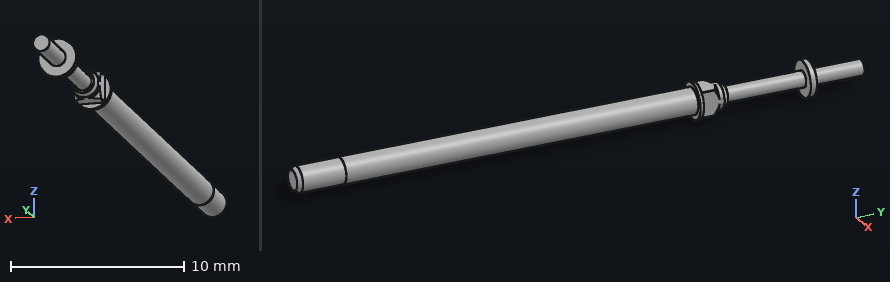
import cadquery as cq

total_length = 36.3
flange_diameter = 2.3
barrel_diameter = 1.67
shaft_diameter = 1.0

tip_diameter = 1.65
tip_length = 3.05
tip_chamfer_radial = 0.18
tip_chamfer_length = 0.3

flange_start = 25.52
flange_thickness = 0.2
square_width = 1.65
square_corner_length = 0.85
collar_length = 1.78
shoulder_chamfer_radial = 0.18
shoulder_chamfer_length = 0.33

disc_start = 32.55
disc_thickness = 0.4

barrel_radius = barrel_diameter / 2
tip_radius = tip_diameter / 2
flange_radius = flange_diameter / 2
flange_end = flange_start + flange_thickness
collar_end = flange_end + collar_length
corner_end = flange_end + square_corner_length
corner_cone_end = corner_end + flange_radius - barrel_radius


def cylinder(diameter, start, end):
    """Solid cylinder on the Y axis from Y = start to Y = end."""
    return cq.Workplane("XZ", origin=(0, start, 0)).circle(diameter / 2).extrude(start - end)


def turned(profile):
    """Solid of revolution about the Y axis from (radius, Y) points."""
    return cq.Workplane("XY").polyline(profile).close().revolve(360, (0, 0, 0), (0, 1, 0))


def barrel():
    """Long barrel with a reduced, chamfered tip."""
    return turned([
        (0, 0),
        (tip_radius - tip_chamfer_radial, 0),
        (tip_radius, tip_chamfer_length),
        (tip_radius, tip_length),
        (barrel_radius, tip_length),
        (barrel_radius, flange_end),
        (0, flange_end),
    ])


def square_collar():
    """Turned collar with a conical step and chamfered shoulder, cut to four flats."""
    blank = turned([
        (0, flange_end),
        (flange_radius, flange_end),
        (flange_radius, corner_end),
        (barrel_radius, corner_cone_end),
        (barrel_radius, collar_end - shoulder_chamfer_length),
        (barrel_radius - shoulder_chamfer_radial, collar_end),
        (0, collar_end),
    ])
    square = (
        cq.Workplane("XZ", origin=(0, flange_end, 0))
        .rect(square_width, square_width)
        .extrude(-collar_length)
    )
    return blank.intersect(square)


flange = cylinder(flange_diameter, flange_start, flange_end)
shaft = cylinder(shaft_diameter, flange_end, total_length)
disc = cylinder(flange_diameter, disc_start, disc_start + disc_thickness)

result = barrel().union(flange).union(square_collar()).union(shaft).union(disc)